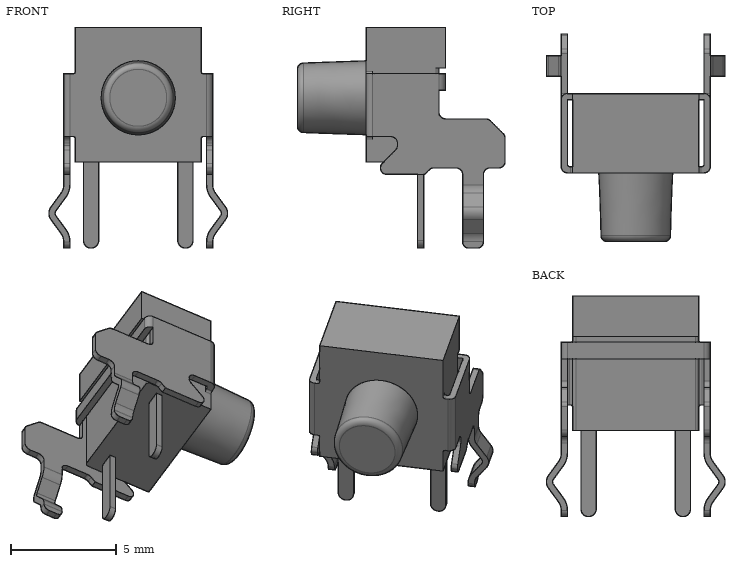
import cadquery as cq
import math


TOLERANCE = 0.0001

TOTAL_HEIGHT = 10.5
HOUSING_WIDTH = 6.0
HOUSING_HEIGHT = 6.4
HOUSING_BOTTOM = TOTAL_HEIGHT - HOUSING_HEIGHT
HOUSING_DEPTH = 3.78
RECESS_TOP = 8.56
RECESS_CORNER_RADIUS = 0.15

SHEET = 0.3
EDGE_RADIUS = 0.3
BEND_INNER_RADIUS = 0.1
FRAME_WIDTH = 7.1
FRAME_TOP = 8.3
FRONT_FLAP_BOTTOM = 5.3
RELIEF_RADIUS = 0.1
STRAP_BOTTOM = 7.51
RECESS_FACE = HOUSING_DEPTH - SHEET
FRAME_SIDE = FRAME_WIDTH / 2
FRAME_INSIDE = FRAME_SIDE - SHEET

PLATE_REAR = 6.62
SHELF_TOP = 6.15
SHELF_BOTTOM = 3.81
SHELF_CHAMFER = 0.8
FOOT_BOTTOM = 3.51
FOOT_FRONT = 0.68
FOOT_CORNER = 3.95
FOOT_REAR = 2.79
SLOT_END = 1.49

LEG_FRONT = 4.59
LEG_WIDTH = 1.0
LEG_REAR = LEG_FRONT + LEG_WIDTH
LEG_APEX_HEIGHT = 1.66
LEG_BULGE = 0.7
LEG_ANGLE = math.radians(36)
APEX_RADIUS = 0.5
LEG_BEND_RADIUS = 0.65

PIN_WIDTH = 0.74
PIN_PITCH = 4.48
PIN_FRONT = 2.45

BUTTON_HEIGHT = 7.15
BUTTON_LENGTH = 3.27
BUTTON_BASE_RADIUS = 1.76
BUTTON_TIP_RADIUS = 1.65
BUTTON_EDGE_RADIUS = 0.3


def rounded_outline(plane, corners):
    """Closed outline on a plane; each corner is (u, v) or (u, v, radius)."""
    stretches = []
    for i, corner in enumerate(corners):
        point = cq.Vector(*corner[:2])
        if len(corner) == 2:
            stretches.append([point])
            continue
        radius = corner[2]
        to_last = (cq.Vector(*corners[i - 1][:2]) - point).normalized()
        to_next = (cq.Vector(*corners[(i + 1) % len(corners)][:2]) - point).normalized()
        half_angle = to_last.getAngle(to_next) / 2
        setback = radius / math.tan(half_angle)
        bisector = (to_last + to_next).normalized()
        middle = point + bisector * (radius / math.sin(half_angle) - radius)
        stretches.append([point + to_last * setback, middle, point + to_next * setback])

    last = stretches[0][-1]
    outline = cq.Workplane(plane).moveTo(last.x, last.y)
    for stretch in stretches[1:] + stretches[:1]:
        if (stretch[0] - last).Length > TOLERANCE:
            outline = outline.lineTo(stretch[0].x, stretch[0].y)
        if len(stretch) > 1:
            outline = outline.threePointArc(stretch[1].toTuple()[:2], stretch[2].toTuple()[:2])
        last = stretch[-1]
    return outline.close()


def make_housing():
    """Block whose back face steps in below the recess level."""
    upper = (
        cq.Workplane("XY", origin=(0, 0, RECESS_TOP))
        .box(HOUSING_WIDTH, HOUSING_DEPTH, TOTAL_HEIGHT - RECESS_TOP, centered=(True, False, False))
    )
    lower = (
        cq.Workplane("XY", origin=(0, 0, HOUSING_BOTTOM))
        .box(HOUSING_WIDTH, RECESS_FACE, RECESS_TOP - HOUSING_BOTTOM, centered=(True, False, False))
        .edges("|Z and >Y")
        .fillet(RECESS_CORNER_RADIUS)
    )
    return upper.union(lower)


def make_front_flap():
    """Flap in the plane of the front face, from the housing out to the front bend (+X side)."""
    side = HOUSING_WIDTH / 2
    outline = rounded_outline("XZ", [
        (0, TOTAL_HEIGHT),
        (side, TOTAL_HEIGHT),
        (side, FRAME_TOP, RELIEF_RADIUS),
        (FRAME_INSIDE - BEND_INNER_RADIUS, FRAME_TOP),
        (FRAME_INSIDE - BEND_INNER_RADIUS, FRONT_FLAP_BOTTOM),
        (side, FRONT_FLAP_BOTTOM, RELIEF_RADIUS),
        (side, HOUSING_BOTTOM),
        (0, HOUSING_BOTTOM),
    ])
    return outline.extrude(-SHEET)


def make_front_bend():
    """Corner from the front flap into the side plate (+X side)."""
    flap_end = FRAME_INSIDE - BEND_INNER_RADIUS
    plate_start = SHEET + BEND_INNER_RADIUS
    outline = rounded_outline("XY", [
        (flap_end, 0),
        (FRAME_SIDE, 0, EDGE_RADIUS),
        (FRAME_SIDE, plate_start),
        (FRAME_INSIDE, plate_start),
        (FRAME_INSIDE, SHEET, BEND_INNER_RADIUS),
        (flap_end, SHEET),
    ])
    return outline.extrude(FRAME_TOP - FRONT_FLAP_BOTTOM).translate((0, 0, FRONT_FLAP_BOTTOM))


def make_rear_strap():
    """Strap across the back of the housing, rounded where it meets the side plates."""
    outline = rounded_outline("XY", [
        (-FRAME_SIDE, RECESS_FACE),
        (FRAME_SIDE, RECESS_FACE),
        (FRAME_SIDE, HOUSING_DEPTH, EDGE_RADIUS),
        (-FRAME_SIDE, HOUSING_DEPTH, EDGE_RADIUS),
    ])
    return outline.extrude(FRAME_TOP - STRAP_BOTTOM).translate((0, 0, STRAP_BOTTOM))


def make_side_plate(leg_top):
    """Flat side plate with its rear shelf, foot and the upper, straight part of the leg (+X side)."""
    slot_corner = FOOT_CORNER + (SLOT_END - FOOT_FRONT)
    foot_rise = SHELF_BOTTOM - FOOT_BOTTOM
    outline = rounded_outline("YZ", [
        (SHEET, FRAME_TOP),
        (SHEET, FRONT_FLAP_BOTTOM),
        (SLOT_END, FRONT_FLAP_BOTTOM, EDGE_RADIUS),
        (SLOT_END, slot_corner, EDGE_RADIUS),
        (FOOT_FRONT, FOOT_CORNER, EDGE_RADIUS),
        (FOOT_FRONT, FOOT_BOTTOM, EDGE_RADIUS),
        (FOOT_REAR, FOOT_BOTTOM),
        (FOOT_REAR + foot_rise, SHELF_BOTTOM, EDGE_RADIUS),
        (LEG_FRONT, SHELF_BOTTOM, EDGE_RADIUS),
        (LEG_FRONT, leg_top),
        (LEG_REAR, leg_top),
        (LEG_REAR, SHELF_BOTTOM, EDGE_RADIUS),
        (PLATE_REAR, SHELF_BOTTOM, EDGE_RADIUS),
        (PLATE_REAR, SHELF_TOP - SHELF_CHAMFER, EDGE_RADIUS),
        (PLATE_REAR - SHELF_CHAMFER, SHELF_TOP, EDGE_RADIUS),
        (RECESS_FACE, SHELF_TOP, EDGE_RADIUS),
        (RECESS_FACE, FRAME_TOP),
    ])
    return outline.extrude(SHEET).translate((FRAME_INSIDE, 0, 0))


def make_snap_leg(bend_rise, leg_top):
    """Leg strip bent outwards to an apex and back again, with a rounded end (+X side)."""
    apex_x = FRAME_SIDE + bend_rise * math.tan(LEG_ANGLE)
    inner_apex_x = apex_x - SHEET / math.cos(LEG_ANGLE)
    inner_rise = bend_rise - SHEET * math.tan(LEG_ANGLE / 2)
    inner_bend_radius = LEG_BEND_RADIUS + SHEET
    strip = rounded_outline("XZ", [
        (FRAME_SIDE, leg_top),
        (FRAME_SIDE, LEG_APEX_HEIGHT + bend_rise, LEG_BEND_RADIUS),
        (apex_x, LEG_APEX_HEIGHT, APEX_RADIUS),
        (FRAME_SIDE, LEG_APEX_HEIGHT - bend_rise, LEG_BEND_RADIUS),
        (FRAME_SIDE, 0),
        (FRAME_INSIDE, 0),
        (FRAME_INSIDE, LEG_APEX_HEIGHT - inner_rise, inner_bend_radius),
        (inner_apex_x, LEG_APEX_HEIGHT, APEX_RADIUS - SHEET),
        (FRAME_INSIDE, LEG_APEX_HEIGHT + inner_rise, inner_bend_radius),
        (FRAME_INSIDE, leg_top),
    ]).extrude(-LEG_WIDTH).translate((0, LEG_FRONT, 0))
    return strip.faces("<Z").edges("|X").fillet(EDGE_RADIUS)


def make_frame_side():
    """Everything of the frame on the +X side, apart from the rear strap."""
    bend_rise = (LEG_BULGE + APEX_RADIUS * (1 / math.cos(LEG_ANGLE) - 1)) / math.tan(LEG_ANGLE)
    leg_top = LEG_APEX_HEIGHT + bend_rise + LEG_BEND_RADIUS * math.tan(LEG_ANGLE / 2)
    return (
        make_front_flap()
        .union(make_front_bend())
        .union(make_side_plate(leg_top))
        .union(make_snap_leg(bend_rise, leg_top))
    )


def make_pin(center_x):
    """Flat solder pin with a fully rounded tip, reaching up to the housing."""
    radius = PIN_WIDTH / 2
    return (
        cq.Workplane("XZ", origin=(center_x, PIN_FRONT, 0))
        .moveTo(-radius, HOUSING_BOTTOM)
        .lineTo(-radius, radius)
        .threePointArc((0, 0), (radius, radius))
        .lineTo(radius, HOUSING_BOTTOM)
        .close()
        .extrude(-SHEET)
    )


def make_switch_body():
    """Housing, frame and pins as one solid."""
    frame_side = make_frame_side()
    body = make_housing().union(frame_side).union(frame_side.mirror("YZ")).union(make_rear_strap())
    for side in (-1, 1):
        body = body.union(make_pin(side * PIN_PITCH / 2))
    return body.solids()


def make_button():
    """Slightly tapered round button with a rounded rim, standing on the front face."""
    profile = rounded_outline("YZ", [
        (0, 0),
        (0, BUTTON_BASE_RADIUS),
        (-BUTTON_LENGTH, BUTTON_TIP_RADIUS, BUTTON_EDGE_RADIUS),
        (-BUTTON_LENGTH, 0),
    ])
    return profile.revolve(360, (0, 0, 0), (1, 0, 0)).translate((0, 0, BUTTON_HEIGHT))


switch_body = make_switch_body()
button = make_button()

result = cq.Compound.makeCompound([switch_body.val(), button.val()])